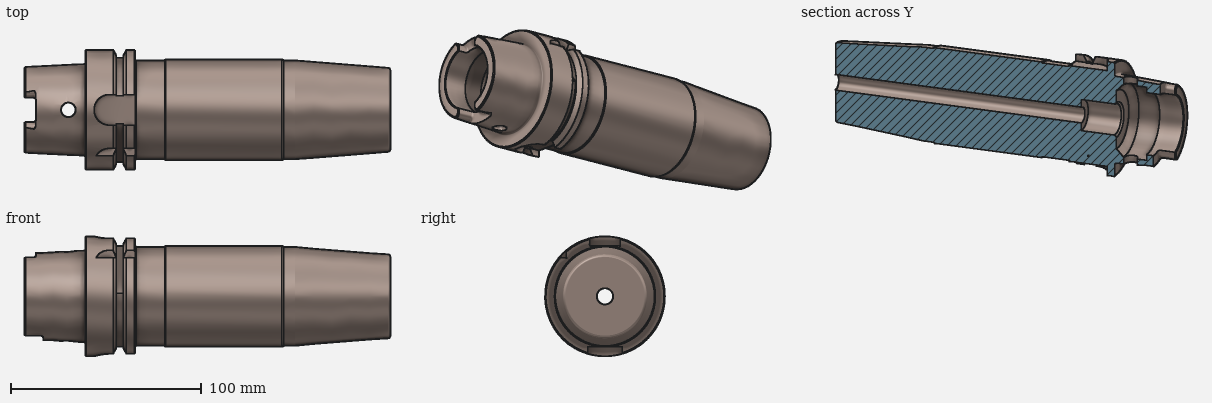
import math

import cadquery as cq


SHANK_LENGTH = 32.0
SHANK_ROOT_RADIUS = 48.04 / 2
SHANK_ROOT_LENGTH = 2.5
TAPER_SLOPE = 0.05
ROOT_FILLET = 1.0
SHANK_TIP_RADIUS = SHANK_ROOT_RADIUS - TAPER_SLOPE * (SHANK_LENGTH - SHANK_ROOT_LENGTH)
TIP_CHAMFER = 0.6
MOUTH_CHAMFER = 0.4

FLANGE_RADIUS = 63.0 / 2
FLANGE_WIDTH = 26.0
FLANGE_FRONT_CHAMFER = 0.5
FLANGE_BACK_CHAMFER = 0.5
GROOVE_CENTER = 18.0
GROOVE_FLOOR_RADIUS = 27.5
GROOVE_FLOOR_WIDTH = 3.5
GROOVE_RIM_WIDTH = 7.0
GROOVE_FLANK_ANGLE = 30.0

NOSE_END = 160.0
NECK_RADIUS = 52.0 / 2
NECK_FILLET = 0.5
BODY_RADIUS = 53.0 / 2
BODY_START = 42.0
BODY_END = 104.1
BODY_START_CHAMFER = 0.5
BODY_END_CHAMFER_LENGTH = 1.1
CONE_START = 109.8
NOSE_TIP_RADIUS = 44.0 / 2
NOSE_FILLET = 1.5

MOUTH_BORE_RADIUS = 34.0 / 2
CHAMBER_RADIUS = 40.0 / 2
CHAMBER_FLOOR_RADIUS = 32.0 / 2
CHAMBER_START = -18.2
CHAMBER_FLOOR_X = -1.0
THREAD_BORE_RADIUS = 16.92 / 2
THREAD_MOUTH_RADIUS = 19.02 / 2
THREAD_BORE_DEPTH = 20.0
COOLANT_RADIUS = 8.41 / 2

DRIVE_SLOT_HALF_WIDTH = 12.54 / 2
DRIVE_SLOT_FLOOR_FILLET = 1.2
DRIVE_SLOT_EDGE_ROUND = 3.0
TOP_DRIVE_SLOT_DEPTH = 6.0
BOTTOM_DRIVE_SLOT_DEPTH = 9.8

CROSS_HOLE_X = -9.0
CROSS_HOLE_RADIUS = 7.5 / 2

KEYWAY_FLOOR = 26.5
KEYWAY_START = 4.5
TOP_KEYWAY_WIDTH = 16.0
BOTTOM_KEYWAY_WIDTH = 18.0
NOTCH_OFFSET = 20.2
NOTCH_CUTTER_RADIUS = 8.0

FLAT_LOWER_Z = 1.5

CLEARANCE = 10.0


def revolve_about_x(profile):
    """Full turn of a closed XY profile about the X axis."""
    return profile.close().revolve(360, (0, 0, 0), (1, 0, 0))


def outer_body():
    outline = (
        cq.Workplane("XY")
        .moveTo(-SHANK_LENGTH, 0)
        .lineTo(-SHANK_LENGTH, SHANK_TIP_RADIUS - TIP_CHAMFER)
        .lineTo(TIP_CHAMFER - SHANK_LENGTH, SHANK_TIP_RADIUS + TAPER_SLOPE * TIP_CHAMFER)
        .lineTo(-SHANK_ROOT_LENGTH, SHANK_ROOT_RADIUS)
        .lineTo(-ROOT_FILLET, SHANK_ROOT_RADIUS)
        .radiusArc((0, SHANK_ROOT_RADIUS + ROOT_FILLET), -ROOT_FILLET)
        .lineTo(0, FLANGE_RADIUS - FLANGE_FRONT_CHAMFER)
        .lineTo(FLANGE_FRONT_CHAMFER, FLANGE_RADIUS)
        .lineTo(FLANGE_WIDTH - FLANGE_BACK_CHAMFER, FLANGE_RADIUS)
        .lineTo(FLANGE_WIDTH, FLANGE_RADIUS - FLANGE_BACK_CHAMFER)
        .lineTo(FLANGE_WIDTH, NECK_RADIUS + NECK_FILLET)
        .radiusArc((FLANGE_WIDTH + NECK_FILLET, NECK_RADIUS), -NECK_FILLET)
        .lineTo(BODY_START - BODY_START_CHAMFER, NECK_RADIUS)
        .lineTo(BODY_START, BODY_RADIUS)
        .lineTo(BODY_END - BODY_END_CHAMFER_LENGTH, BODY_RADIUS)
        .lineTo(BODY_END, NECK_RADIUS)
        .lineTo(CONE_START, NECK_RADIUS)
        .lineTo(NOSE_END, NOSE_TIP_RADIUS)
        .lineTo(NOSE_END, 0)
    )
    return revolve_about_x(outline).faces(">X").edges().fillet(NOSE_FILLET)


def gripper_groove():
    """Groove with upright walls next to the floor and sloped flanks up to the rim."""
    half_floor = GROOVE_FLOOR_WIDTH / 2
    half_rim = GROOVE_RIM_WIDTH / 2
    wall_top = FLANGE_RADIUS - (half_rim - half_floor) / math.tan(math.radians(GROOVE_FLANK_ANGLE))
    outside = FLANGE_RADIUS + CLEARANCE
    section = (
        cq.Workplane("XY")
        .moveTo(GROOVE_CENTER - half_floor, GROOVE_FLOOR_RADIUS)
        .lineTo(GROOVE_CENTER + half_floor, GROOVE_FLOOR_RADIUS)
        .lineTo(GROOVE_CENTER + half_floor, wall_top)
        .lineTo(GROOVE_CENTER + half_rim, FLANGE_RADIUS)
        .lineTo(GROOVE_CENTER + half_rim, outside)
        .lineTo(GROOVE_CENTER - half_rim, outside)
        .lineTo(GROOVE_CENTER - half_rim, FLANGE_RADIUS)
        .lineTo(GROOVE_CENTER - half_floor, wall_top)
    )
    return revolve_about_x(section)


def groove_flat():
    """Chord cut between the groove flanks, from the top keyway corner down the -Y side."""
    upper_y = -math.sqrt(GROOVE_FLOOR_RADIUS**2 - KEYWAY_FLOOR**2)
    lower_y = -math.sqrt(GROOVE_FLOOR_RADIUS**2 - FLAT_LOWER_Z**2)
    return (
        cq.Workplane("YZ", origin=(GROOVE_CENTER - GROOVE_FLOOR_WIDTH / 2, 0, 0))
        .moveTo(upper_y, KEYWAY_FLOOR)
        .lineTo(lower_y, FLAT_LOWER_Z)
        .lineTo(lower_y, KEYWAY_FLOOR)
        .close()
        .extrude(GROOVE_FLOOR_WIDTH)
    )


def inner_bores():
    floor_taper = CHAMBER_RADIUS - CHAMBER_FLOOR_RADIUS
    thread_chamfer = THREAD_MOUTH_RADIUS - THREAD_BORE_RADIUS
    thread_end = CHAMBER_FLOOR_X + THREAD_BORE_DEPTH
    outline = (
        cq.Workplane("XY")
        .moveTo(-SHANK_LENGTH, 0)
        .lineTo(-SHANK_LENGTH, MOUTH_BORE_RADIUS + MOUTH_CHAMFER)
        .lineTo(MOUTH_CHAMFER - SHANK_LENGTH, MOUTH_BORE_RADIUS)
        .lineTo(CHAMBER_START, MOUTH_BORE_RADIUS)
        .lineTo(CHAMBER_START, CHAMBER_RADIUS)
        .lineTo(CHAMBER_FLOOR_X - floor_taper, CHAMBER_RADIUS)
        .lineTo(CHAMBER_FLOOR_X, CHAMBER_FLOOR_RADIUS)
        .lineTo(CHAMBER_FLOOR_X, THREAD_MOUTH_RADIUS)
        .lineTo(CHAMBER_FLOOR_X + thread_chamfer, THREAD_BORE_RADIUS)
        .lineTo(thread_end, THREAD_BORE_RADIUS)
        .lineTo(thread_end, COOLANT_RADIUS)
        .lineTo(NOSE_END, COOLANT_RADIUS)
        .lineTo(NOSE_END, 0)
    )
    return revolve_about_x(outline)


def drive_slot_section(x, depth, side, margin):
    """Slot section in the plane at x, widened by margin; its walls round out into the shank surface."""
    edge_round = DRIVE_SLOT_EDGE_ROUND - margin
    half_width = DRIVE_SLOT_HALF_WIDTH + margin
    surface_radius = SHANK_TIP_RADIUS + TAPER_SLOPE * depth
    center_radius = surface_radius - DRIVE_SLOT_EDGE_ROUND
    center_y = DRIVE_SLOT_HALF_WIDTH + DRIVE_SLOT_EDGE_ROUND
    center_z = math.sqrt(center_radius**2 - center_y**2)
    outward = (center_radius + edge_round) / center_radius
    end_y = center_y * outward
    end_z = center_z * outward
    top_z = surface_radius + CLEARANCE
    return (
        cq.Workplane("YZ", origin=(x, 0, 0))
        .moveTo(-half_width, 0)
        .lineTo(half_width, 0)
        .lineTo(half_width, side * center_z)
        .radiusArc((end_y, side * end_z), side * edge_round)
        .lineTo(end_y, side * top_z)
        .lineTo(-end_y, side * top_z)
        .lineTo(-end_y, side * end_z)
        .radiusArc((-half_width, side * center_z), side * edge_round)
        .close()
    )


def drive_slot(depth, side):
    """Slot across one wall of the shank tip; side is +1 for +Z and -1 for -Z."""
    slot = drive_slot_section(-SHANK_LENGTH, depth, side, 0).extrude(depth)
    slot = slot.faces(">X").edges().fillet(DRIVE_SLOT_FLOOR_FILLET)
    chamfer_end = TIP_CHAMFER - SHANK_LENGTH
    wide_wire = drive_slot_section(-SHANK_LENGTH, depth, side, TIP_CHAMFER).val()
    slot_wire = drive_slot_section(chamfer_end, depth, side, 0).val()
    mouth = cq.Solid.makeLoft([wide_wire, slot_wire], True)
    return slot.union(cq.Workplane(mouth))


def round_ended_cutter(radius, center_y, floor_z, height):
    """Upright milling path with a round end at -X, running on to the flange's back face."""
    center_x = KEYWAY_START + radius
    run = FLANGE_WIDTH - center_x
    round_end = cq.Workplane("XY", origin=(center_x, center_y, floor_z)).circle(radius).extrude(height)
    path_center = (center_x + run / 2, center_y, floor_z)
    path = cq.Workplane("XY", origin=path_center).rect(run, 2 * radius).extrude(height)
    return round_end.union(path)


def cross_hole():
    length = 2 * FLANGE_RADIUS
    return cq.Workplane("XY", origin=(CROSS_HOLE_X, 0, -length / 2)).circle(CROSS_HOLE_RADIUS).extrude(length)


holder = outer_body().cut(gripper_groove()).cut(inner_bores())
holder = holder.cut(drive_slot(TOP_DRIVE_SLOT_DEPTH, 1))
holder = holder.cut(drive_slot(BOTTOM_DRIVE_SLOT_DEPTH, -1))
holder = holder.cut(cross_hole())

top_keyway = round_ended_cutter(TOP_KEYWAY_WIDTH / 2, 0, KEYWAY_FLOOR, CLEARANCE)
bottom_keyway = round_ended_cutter(BOTTOM_KEYWAY_WIDTH / 2, 0, -KEYWAY_FLOOR - CLEARANCE, CLEARANCE)
notch_center_y = -NOTCH_OFFSET - NOTCH_CUTTER_RADIUS
notch = round_ended_cutter(NOTCH_CUTTER_RADIUS, notch_center_y, NOTCH_OFFSET, CLEARANCE)
for cutter in (top_keyway, bottom_keyway, notch, groove_flat()):
    holder = holder.cut(cutter)

result = holder